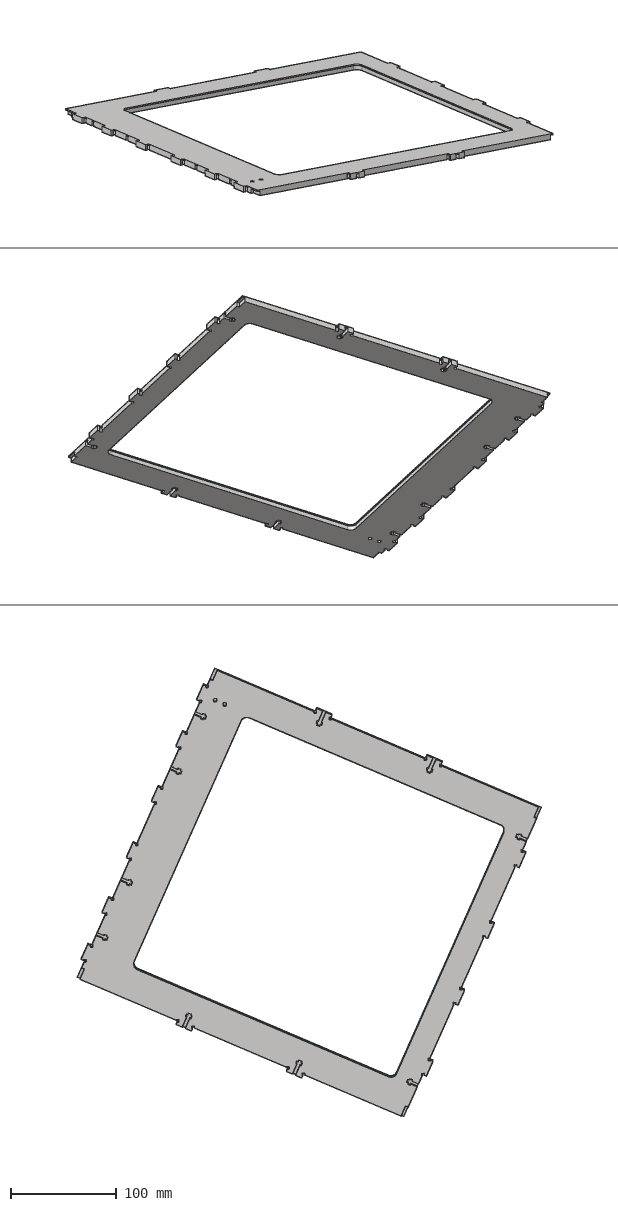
import cadquery as cq

OVERALL_X = 333.8
OVERALL_Y = 345.2
THICKNESS = 6.0

TAB_LENGTH = 3.8
TAB_WIDTH = 16.0
BACK_TAB_OFFSETS = (35.2, 110.0)
FRONT_TAB_OFFSETS = (29.7, 87.7, 137.0)
SIDE_TAB_OFFSETS = (57.0,)

SKIN = 1.5
POCKET_DEPTH = THICKNESS - SKIN

WINDOW_X = 265.0
WINDOW_BACK_Y = 145.5
WINDOW_FRONT_Y = -125.3
WINDOW_RADIUS = 6.0
WINDOW_UNDERCUT = 0.5

SLOT_WIDTH = 3.0
SLOT_DEPTH = 11.0
NUT_WIDTH = 5.5
NUT_LENGTH = 2.5
NUT_INSET = 7.0
BACK_SLOT_OFFSETS = (129.5,)
FRONT_SLOT_OFFSETS = (58.7, 116.7)
SIDE_SLOT_OFFSETS = SIDE_TAB_OFFSETS

RELIEF_RADIUS = 1.5
REBATE_X = 10.7
REBATE_Y = 2.8

HOLE_DIAMETER = 3.5
HOLE_X = 135.5
HOLE_YS = (-146.5, -156.5)

BODY_X = OVERALL_X - 2 * TAB_LENGTH
BODY_Y = OVERALL_Y - 2 * TAB_LENGTH

EDGES = (
    (0, BODY_Y / 2, BACK_TAB_OFFSETS, BACK_SLOT_OFFSETS),
    (90, BODY_X / 2, SIDE_TAB_OFFSETS, SIDE_SLOT_OFFSETS),
    (180, BODY_Y / 2, FRONT_TAB_OFFSETS, FRONT_SLOT_OFFSETS),
    (270, BODY_X / 2, SIDE_TAB_OFFSETS, SIDE_SLOT_OFFSETS),
)


def span(center, width):
    """Lower and upper limit of a width about its centre."""
    return (center - width / 2, center + width / 2)


def mirrored(offsets):
    """Each offset on both sides of the middle."""
    return [side * offset for offset in offsets for side in (-1, 1)]


def block(x_range, y_range, height):
    """Rectangular block standing on Z = 0."""
    x_min, x_max = x_range
    y_min, y_max = y_range
    return (
        cq.Workplane("XY")
        .center((x_min + x_max) / 2, (y_min + y_max) / 2)
        .rect(x_max - x_min, y_max - y_min)
        .extrude(height)
    )


def posts(points, radius, height):
    """Round posts standing on Z = 0."""
    return cq.Workplane("XY").pushPoints(points).circle(radius).extrude(height)


def turned(shape, angle):
    return shape.rotate((0, 0, 0), (0, 0, 1), angle)


def tab(center, edge):
    """Tab with its root buried in the body so that it fuses cleanly."""
    return block(span(center, TAB_WIDTH), (edge - TAB_LENGTH, edge + TAB_LENGTH), THICKNESS)


def root_reliefs(center, edge):
    """Relief at both root corners of a tab."""
    corners = [(x, edge) for x in span(center, TAB_WIDTH)]
    return posts(corners, RELIEF_RADIUS, POCKET_DEPTH)


def t_slot(center, edge):
    """Screw slot open at the edge, crossed by the nut pocket."""
    nut_outer = edge - NUT_INSET
    screw = block(span(center, SLOT_WIDTH), (edge - SLOT_DEPTH, edge + TAB_LENGTH), POCKET_DEPTH)
    nut = block(span(center, NUT_WIDTH), (nut_outer - NUT_LENGTH, nut_outer), POCKET_DEPTH)
    return screw.union(nut)


def corner_rebates():
    """Blocks centred on the four body corners."""
    corners = [(x, y) for x in span(0, BODY_X) for y in span(0, BODY_Y)]
    return cq.Workplane("XY").pushPoints(corners).rect(2 * REBATE_X, 2 * REBATE_Y).extrude(POCKET_DEPTH)


def window(margin, height):
    """Round-cornered window, widened by the margin on every side."""
    x_range = span(0, WINDOW_X + 2 * margin)
    y_range = (WINDOW_FRONT_Y - margin, WINDOW_BACK_Y + margin)
    return block(x_range, y_range, height).edges("|Z").fillet(WINDOW_RADIUS)


frame = block(span(0, BODY_X), span(0, BODY_Y), THICKNESS)
for angle, edge, tab_offsets, slot_offsets in EDGES:
    for center in mirrored(tab_offsets):
        frame = frame.union(turned(tab(center, edge), angle))
        frame = frame.cut(turned(root_reliefs(center, edge), angle))
    for center in mirrored(slot_offsets):
        frame = frame.cut(turned(t_slot(center, edge), angle))

frame = frame.cut(corner_rebates())
frame = frame.cut(window(0, THICKNESS))
frame = frame.cut(window(WINDOW_UNDERCUT, POCKET_DEPTH))

hole_centers = [(HOLE_X, y) for y in HOLE_YS]
result = frame.cut(posts(hole_centers, HOLE_DIAMETER / 2, THICKNESS))